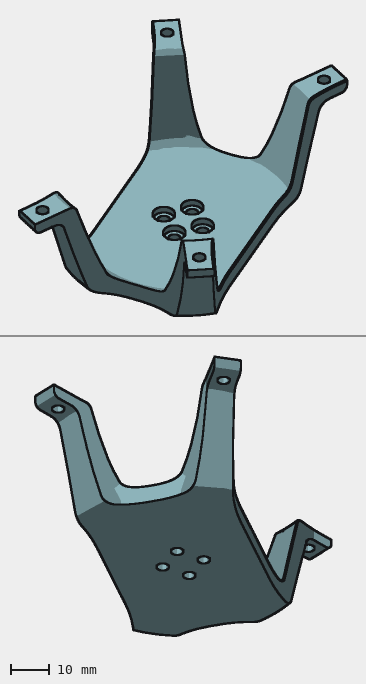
import cadquery as cq
import math

LENGTH = 89.0
HEIGHT = 30.5
PLATE_THICKNESS = 5.0

TAB_ANGLE = math.radians(60)
TAB_WIDTH = 7.0
TAB_THICKNESS = 3.6
TAB_TIP_ROUND = 2.0
TAB_INNER_EDGE = 9.6
TAB_ALONG_X = math.cos(TAB_ANGLE)
TAB_ALONG_Y = math.sin(TAB_ANGLE)
TAB_REACH = (LENGTH / 2 - TAB_WIDTH / 2 * TAB_ALONG_X) / TAB_ALONG_Y
TAB_BOTTOM = HEIGHT - TAB_THICKNESS

INNER_FLOOR_RADIUS = 30.0
INNER_RIM_RADIUS = 36.9
OUTER_FLOOR_RADIUS = 33.4
OUTER_RIM_RADIUS = 40.95
INNER_FLOOR_ROUND = 3.0
INNER_RIM_ROUND = 2.05
OUTER_ROUND = 3.2
FLANGE_RADIUS = TAB_REACH + TAB_WIDTH

SIDE_HALF_WIDTH = 19.4
SIDE_ARC_RADIUS = 49.9
END_HALF_LENGTH = 28.5
SIDE_CHAMFER = 0.3

TAB_HOLE_DIAMETER = 3.2
TAB_HOLE_REACH = 44.5
CENTRE_HOLE_COUNT = 4
CENTRE_HOLE_DIAMETER = 3.2
CENTRE_HOLE_REACH = 5.5
COUNTERBORE_DIAMETER = 5.8
COUNTERBORE_DEPTH = 2.0

TOLERANCE = 0.01


def round_circle(body, radius, z, size):
    """Fillet the circular edge of the given radius and height."""
    circles = [
        edge
        for edge in body.edges("%CIRCLE").vals()
        if abs(edge.radius() - radius) < TOLERANCE and abs(edge.Center().z - z) < TOLERANCE
    ]
    return body.newObject(circles).fillet(size)


def make_bowl():
    """Revolve the plate, sloping wall and flat rim as one flanged bowl."""
    section = [
        (0, 0),
        (OUTER_FLOOR_RADIUS, 0),
        (OUTER_RIM_RADIUS, TAB_BOTTOM),
        (FLANGE_RADIUS, TAB_BOTTOM),
        (FLANGE_RADIUS, HEIGHT),
        (INNER_RIM_RADIUS, HEIGHT),
        (INNER_FLOOR_RADIUS, PLATE_THICKNESS),
        (0, PLATE_THICKNESS),
    ]
    bowl = cq.Workplane("XZ").polyline(section).close().revolve(360, (0, 0), (0, 1))
    bowl = round_circle(bowl, OUTER_FLOOR_RADIUS, 0, OUTER_ROUND)
    bowl = round_circle(bowl, OUTER_RIM_RADIUS, TAB_BOTTOM, OUTER_ROUND)
    bowl = round_circle(bowl, INNER_RIM_RADIUS, HEIGHT, INNER_RIM_ROUND)
    return round_circle(bowl, INNER_FLOOR_RADIUS, PLATE_THICKNESS, INNER_FLOOR_ROUND)


def along_tab(point, distance):
    """Move a point outward along the +X +Y tab direction."""
    return (point[0] + distance * TAB_ALONG_X, point[1] + distance * TAB_ALONG_Y)


def opposite(point):
    """Mirror a plan point to the other side of the Y axis."""
    return (-point[0], point[1])


def make_outline():
    """Extrude the four-legged plan outline, drawn for the +Y half and mirrored."""
    half_width = TAB_WIDTH / 2
    side_corner = along_tab((half_width * TAB_ALONG_Y, -half_width * TAB_ALONG_X), TAB_REACH)
    end_corner = along_tab((-half_width * TAB_ALONG_Y, half_width * TAB_ALONG_X), TAB_REACH)

    crossing_y = side_corner[1] - (side_corner[0] - SIDE_HALF_WIDTH) * math.tan(TAB_ANGLE)
    tangent_length = SIDE_ARC_RADIUS * math.tan((math.pi / 2 - TAB_ANGLE) / 2)
    side_arc_start = (SIDE_HALF_WIDTH, crossing_y - tangent_length)
    side_arc_end = along_tab((SIDE_HALF_WIDTH, crossing_y), tangent_length)
    end_curve_start = along_tab(end_corner, -TAB_INNER_EDGE)

    half = (
        cq.Workplane("XY")
        .moveTo(SIDE_HALF_WIDTH, 0)
        .lineTo(*side_arc_start)
        .tangentArcPoint(side_arc_end, relative=False)
        .lineTo(*side_corner)
        .lineTo(*end_corner)
        .lineTo(*end_curve_start)
        .spline(
            [(0, END_HALF_LENGTH), opposite(end_curve_start)],
            tangents=[(-TAB_ALONG_X, -TAB_ALONG_Y), (-TAB_ALONG_X, TAB_ALONG_Y)],
            includeCurrent=True,
        )
        .lineTo(*opposite(end_corner))
        .lineTo(*opposite(side_corner))
        .lineTo(*opposite(side_arc_end))
        .tangentArcPoint(opposite(side_arc_start), relative=False)
        .lineTo(-SIDE_HALF_WIDTH, 0)
        .close()
        .extrude(HEIGHT)
    )
    return half.union(half.mirror("XZ")).clean()


def tab_points(reach):
    """Plan points on the four tab centrelines at a distance from the centre."""
    x, y = along_tab((0, 0), reach)
    return [(x, y), (-x, y), (-x, -y), (x, -y)]


def round_tab_tips(body):
    """Fillet the lower edge at the tip of each tab."""
    for x, y in tab_points(TAB_REACH):
        tip_edge = cq.selectors.NearestToPointSelector((x, y, TAB_BOTTOM))
        body = body.edges(tip_edge).fillet(TAB_TIP_ROUND)
    return body


def chamfer_sides(body):
    """Chamfer the upper edge of both long sides, running smoothly from tab tip to tab tip."""
    for x in (SIDE_HALF_WIDTH, -SIDE_HALF_WIDTH):
        rim_edge = cq.selectors.NearestToPointSelector((x, 0, PLATE_THICKNESS))
        body = body.edges(rim_edge).chamfer(SIDE_CHAMFER)
    return body


def drill_tabs(body):
    """Drill one plain hole through each tab."""
    tab_tops = cq.Workplane("XY", origin=(0, 0, HEIGHT))
    return (
        body.copyWorkplane(tab_tops)
        .pushPoints(tab_points(TAB_HOLE_REACH))
        .hole(TAB_HOLE_DIAMETER)
    )


def drill_plate(body):
    """Drill the ring of counterbored holes in the middle of the plate."""
    floor = cq.Workplane("XY", origin=(0, 0, PLATE_THICKNESS))
    return (
        body.copyWorkplane(floor)
        .polarArray(CENTRE_HOLE_REACH, 0, 360, CENTRE_HOLE_COUNT)
        .cboreHole(CENTRE_HOLE_DIAMETER, COUNTERBORE_DIAMETER, COUNTERBORE_DEPTH)
    )


legged_plate = make_bowl().intersect(make_outline())
finished_edges = chamfer_sides(round_tab_tips(legged_plate))
result = drill_plate(drill_tabs(finished_edges))